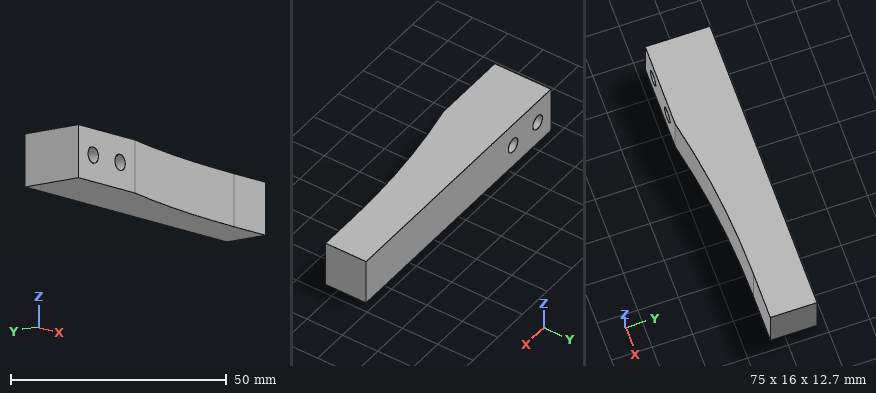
import cadquery as cq
import math

length = 75.0
depth = 16.0
height = 12.7

thick_flat_length = 20.9
thin_flat_length = 11.85
thin_depth = 11.55

hole_diameter = 3.8
first_hole_x = 5.5
hole_spacing = 10.0

arc_end_x = length - thin_flat_length
arc_run = arc_end_x - thick_flat_length
step = depth - thin_depth
arc_radius = (arc_run**2 + step**2) / (2 * step)
arc_mid_x = arc_end_x - arc_run / 2
arc_mid_y = step - arc_radius + math.sqrt(arc_radius**2 - (arc_run / 2) ** 2)


def make_body():
    """Extrude the plan outline upward."""
    return (
        cq.Workplane("XY")
        .lineTo(thick_flat_length, 0)
        .threePointArc((arc_mid_x, arc_mid_y), (arc_end_x, step))
        .lineTo(length, step)
        .lineTo(length, depth)
        .lineTo(0, depth)
        .close()
        .extrude(height)
    )


def make_holes():
    """Two cylinders along Y at mid height, through the full depth."""
    centers = [(first_hole_x + i * hole_spacing, height / 2) for i in range(2)]
    return (
        cq.Workplane("XZ")
        .pushPoints(centers)
        .circle(hole_diameter / 2)
        .extrude(-depth)
    )


result = make_body().cut(make_holes())